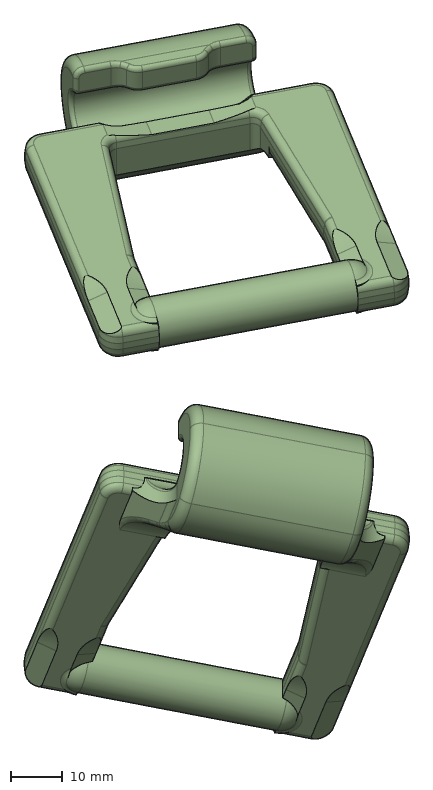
import cadquery as cq
import math


PLATE_LEFT = 5.2
PLATE_RIGHT = 65.55
PLATE_HALF_WIDTH = 31.0
PLATE_HALF_THICKNESS = 3.6
CORNER_RADIUS = 3.8
EDGE_RADIUS = 1.6
BAND_HALF_HEIGHT = 0.8
SIDE_DRAFT = 7.0

BAR_RADIUS = 5.0
BAR_X = PLATE_RIGHT - BAR_RADIUS
BAR_HALF_STRAIGHT = 19.9
BAR_ROOT_RADIUS = 1.9

WINDOW_LEFT = 11.3
WINDOW_TAPER_END = 44.55
WINDOW_HALF_LEFT = 14.9
WINDOW_HALF_RIGHT = 18.9
WINDOW_CORNER_RADIUS = 1.7

BEVEL_WIDTH = 4.0
BEVEL_DEPTH = 1.4
BEVEL_START = 53.65
BEVEL_RUNOUT_RADIUS = 8.1
BEVEL_HEADROOM = 1.6

RELIEF_WIDTH = 3.0
RELIEF_DEPTH = 3.45
RELIEF_HALF_STRAIGHT = 11.0
RELIEF_RUNOUT_RADIUS = 6.2
RAIL_DIP = 1.1
RAIL_DIP_HALF_FLAT = 6.3
RAIL_DIP_HALF_WIDTH = 14.9

BORE_RADIUS = 5.0
HOOK_HALF_WIDTH = 18.3
HOOK_UPPER_RADIUS = 11.0
HOOK_BACK_RADIUS = 14.4
HOOK_LOWER_RADIUS = 10.2
HOOK_LEFT = -12.8
HOOK_CENTER_Z = 0.1
HOOK_OUTER_EDGE_RADIUS = 2.1
HOOK_BORE_EDGE_RADIUS = 0.95
LOWER_CENTER_ANGLE = 247.0
NECK_SLOPE = 51.0
NECK_BLEND_RADIUS = 7.8
FLARE_RADIUS = 7.0
FLARE_HALF_WIDTH = HOOK_HALF_WIDTH + FLARE_RADIUS
FLARE_START_Z = -10.25
FLARE_SLOPE_Z = -8.3
FLARE_SLOPE = 38.0

LIP_CENTER_X = 1.3
LIP_SIDE_X = -1.4
LIP_CENTER_HALF_WIDTH = 5.4
LIP_SIDE_START = 11.0
LIP_EDGE_RADIUS = 0.95
FLARE_START_X = LIP_SIDE_X

CLEAR = 47.0
SELECT_MARGIN = 0.1


def polar(center, radius, degrees):
    """Point on a circle at an angle counted from the first axis."""
    angle = math.radians(degrees)
    return (center[0] + radius * math.cos(angle), center[1] + radius * math.sin(angle))


def hook_profile():
    """C-shaped hook whose lower side runs up a neck and blends into the plate underside."""
    upper = (HOOK_LEFT + HOOK_UPPER_RADIUS, HOOK_CENTER_Z)
    back = (HOOK_LEFT + HOOK_BACK_RADIUS, HOOK_CENTER_Z)
    lower = polar(back, HOOK_BACK_RADIUS - HOOK_LOWER_RADIUS, LOWER_CENTER_ANGLE)
    neck_angle = 270 + NECK_SLOPE
    neck_start = polar(lower, HOOK_LOWER_RADIUS, neck_angle)
    slope = math.radians(NECK_SLOPE)
    corner_x = neck_start[0] + (-PLATE_HALF_THICKNESS - neck_start[1]) / math.tan(slope)
    setback = NECK_BLEND_RADIUS * math.tan(slope / 2)
    blend_center = (corner_x + setback, -PLATE_HALF_THICKNESS - NECK_BLEND_RADIUS)
    blend_start = polar(blend_center, NECK_BLEND_RADIUS, 90 + NECK_SLOPE)
    blend_end = polar(blend_center, NECK_BLEND_RADIUS, 90)
    top = HOOK_CENTER_Z + HOOK_UPPER_RADIUS
    return (
        cq.Workplane("XZ")
        .moveTo(LIP_CENTER_X, top)
        .lineTo(upper[0], top)
        .threePointArc(polar(upper, HOOK_UPPER_RADIUS, 135), (HOOK_LEFT, HOOK_CENTER_Z))
        .threePointArc(
            polar(back, HOOK_BACK_RADIUS, (180 + LOWER_CENTER_ANGLE) / 2),
            polar(back, HOOK_BACK_RADIUS, LOWER_CENTER_ANGLE),
        )
        .threePointArc(
            polar(lower, HOOK_LOWER_RADIUS, (LOWER_CENTER_ANGLE + neck_angle) / 2), neck_start
        )
        .lineTo(*blend_start)
        .threePointArc(polar(blend_center, NECK_BLEND_RADIUS, 90 + NECK_SLOPE / 2), blend_end)
        .lineTo(blend_end[0], 0)
        .lineTo(BORE_RADIUS, 0)
        .threePointArc(
            (-BORE_RADIUS, 0),
            (LIP_CENTER_X, math.sqrt(BORE_RADIUS**2 - LIP_CENTER_X**2)),
        )
        .close()
        .extrude(CLEAR, both=True)
    )


def symmetric_prism(half_outline):
    """Extrude an outline lying on the +Y side and add its mirror image."""
    half = half_outline.close().extrude(CLEAR, both=True)
    return half.union(half.mirror("XZ"))


def flare_in_plan():
    """Space within a quarter arc that widens the hook to the flare width along X."""
    diag = FLARE_RADIUS * math.sqrt(0.5)
    return symmetric_prism(
        cq.Workplane("XY")
        .moveTo(-CLEAR, 0)
        .lineTo(-CLEAR, HOOK_HALF_WIDTH)
        .lineTo(FLARE_START_X, HOOK_HALF_WIDTH)
        .threePointArc(
            (FLARE_START_X + diag, FLARE_HALF_WIDTH - diag),
            (FLARE_START_X + FLARE_RADIUS, FLARE_HALF_WIDTH),
        )
        .lineTo(CLEAR, FLARE_HALF_WIDTH)
        .lineTo(CLEAR, 0)
    )


def flare_from_below():
    """Space within an arc and a slope that widen the hook to the flare width along Z."""
    turn = math.radians(90 - FLARE_SLOPE)
    radius = (FLARE_SLOPE_Z - FLARE_START_Z) / math.sin(turn)
    slope_y = HOOK_HALF_WIDTH + radius * (1 - math.cos(turn))
    slope_rise = (FLARE_HALF_WIDTH - slope_y) * math.tan(math.radians(FLARE_SLOPE))
    return symmetric_prism(
        cq.Workplane("ZY")
        .moveTo(-CLEAR, 0)
        .lineTo(-CLEAR, HOOK_HALF_WIDTH)
        .lineTo(FLARE_START_Z, HOOK_HALF_WIDTH)
        .tangentArcPoint((FLARE_SLOPE_Z, slope_y), relative=False)
        .lineTo(FLARE_SLOPE_Z + slope_rise, FLARE_HALF_WIDTH)
        .lineTo(CLEAR, FLARE_HALF_WIDTH)
        .lineTo(CLEAR, 0)
    )


def lip_cutter():
    """Trim that sets the lip back at both sides through an S-curve."""
    mid = ((LIP_CENTER_X + LIP_SIDE_X) / 2, (LIP_CENTER_HALF_WIDTH + LIP_SIDE_START) / 2)
    run = (LIP_SIDE_START - LIP_CENTER_HALF_WIDTH) / 2
    rise = (LIP_CENTER_X - LIP_SIDE_X) / 2
    radius = (run**2 + rise**2) / (2 * rise)
    half = (
        cq.Workplane("XY")
        .moveTo(LIP_CENTER_X, LIP_CENTER_HALF_WIDTH)
        .radiusArc(mid, -radius)
        .radiusArc((LIP_SIDE_X, LIP_SIDE_START), radius)
        .lineTo(LIP_SIDE_X, CLEAR)
        .lineTo(LIP_CENTER_X, CLEAR)
        .close()
        .extrude(CLEAR)
    )
    return half.union(half.mirror("XZ"))


def edges_in_box(body, low, high):
    return body.edges(cq.selectors.BoxSelector(low, high, boundingbox=True))


def hook():
    body = hook_profile()
    body = body.intersect(flare_in_plan())
    body = body.intersect(flare_from_below())
    body = body.cut(lip_cutter())
    for side in (-1, 1):
        y_low = side * HOOK_HALF_WIDTH - SELECT_MARGIN
        y_high = side * HOOK_HALF_WIDTH + SELECT_MARGIN
        reach = BORE_RADIUS + SELECT_MARGIN
        bore_edge = edges_in_box(body, (-reach, y_low, -reach), (reach, y_high, reach))
        body = bore_edge.edges("%CIRCLE").fillet(HOOK_BORE_EDGE_RADIUS)
        rim = edges_in_box(body, (-CLEAR, y_low, -CLEAR), (CLEAR, y_high, CLEAR))
        body = rim.edges("%CIRCLE").edges("<X").fillet(HOOK_OUTER_EDGE_RADIUS)
    mouth = edges_in_box(
        body,
        (LIP_SIDE_X - SELECT_MARGIN, -HOOK_HALF_WIDTH - SELECT_MARGIN, 0),
        (LIP_CENTER_X + SELECT_MARGIN, HOOK_HALF_WIDTH + SELECT_MARGIN, CLEAR),
    )
    body = mouth.edges("not |Z").edges("not(<Y or >Y)").fillet(LIP_EDGE_RADIUS)
    return body


def drafted_prism(sketch, taper):
    """Plate-thick prism, straight in a middle band and drafted above and below it."""
    band = cq.Workplane("XY").placeSketch(sketch).extrude(BAND_HALF_HEIGHT, both=True)
    upper = (
        cq.Workplane("XY")
        .workplane(offset=BAND_HALF_HEIGHT)
        .placeSketch(sketch)
        .extrude(PLATE_HALF_THICKNESS - BAND_HALF_HEIGHT, taper=taper)
    )
    return band.union(upper).union(upper.mirror("XY"))


def plate_outline():
    return (
        cq.Sketch()
        .push([((PLATE_LEFT + PLATE_RIGHT) / 2, 0)])
        .rect(PLATE_RIGHT - PLATE_LEFT, 2 * PLATE_HALF_WIDTH)
        .reset()
        .vertices()
        .fillet(CORNER_RADIUS)
    )


def window_outline():
    far_side = [
        (WINDOW_LEFT, WINDOW_HALF_LEFT),
        (WINDOW_TAPER_END, WINDOW_HALF_RIGHT),
        (BAR_X, WINDOW_HALF_RIGHT),
    ]
    near_side = [(x, -y) for x, y in reversed(far_side)]
    corners = far_side + near_side
    return (
        cq.Sketch()
        .polygon(corners + corners[:1])
        .vertices("<X")
        .fillet(WINDOW_CORNER_RADIUS)
    )


def plate():
    body = drafted_prism(plate_outline(), SIDE_DRAFT)
    body = body.cut(drafted_prism(window_outline(), -SIDE_DRAFT))
    body = body.faces("<Z or >Z").edges().fillet(EDGE_RADIUS)
    bar_gap = cq.Workplane("XY").box(
        CLEAR, 2 * BAR_HALF_STRAIGHT, CLEAR, centered=(False, True, True)
    )
    return body.cut(bar_gap.translate((BAR_X, 0, 0)))


def bar():
    """Round bar with domed ends."""
    rod = (
        cq.Workplane("XZ")
        .center(BAR_X, 0)
        .circle(BAR_RADIUS)
        .extrude(BAR_HALF_STRAIGHT, both=True)
    )
    for side in (-1, 1):
        dome = cq.Workplane("XY").sphere(BAR_RADIUS)
        rod = rod.union(dome.translate((BAR_X, side * BAR_HALF_STRAIGHT, 0)))
    return rod


def bar_roots():
    """Concave roots where the domes of the bar rise from the plate faces."""
    center_z = PLATE_HALF_THICKNESS + BAR_ROOT_RADIUS
    reach = BAR_RADIUS + BAR_ROOT_RADIUS
    foot = math.sqrt(reach**2 - center_z**2)
    tilt = math.degrees(math.atan2(center_z, foot))
    dome_end = polar((0, 0), BAR_RADIUS, tilt)
    root_mid = polar((foot, center_z), BAR_ROOT_RADIUS, (180 + tilt + 270) / 2)
    root = (
        cq.Workplane("XZ")
        .moveTo(0, 0)
        .lineTo(foot, 0)
        .lineTo(foot, PLATE_HALF_THICKNESS)
        .threePointArc(root_mid, dome_end)
        .lineTo(0, dome_end[1])
        .close()
        .revolve(180, (0, 0, 0), (0, 1, 0))
    )
    root = root.union(root.mirror("XY")).translate((BAR_X, BAR_HALF_STRAIGHT, 0))
    return root.union(root.mirror("XZ"))


def run_out_bevel(width, depth, runout_radius, length):
    """Cutter for a bevel along +X with its shallow edge on the X axis.

    The bevel falls toward +Y, reaching the depth at the width, and fades out
    along a cone centred beside its starting end.
    """
    cone_depth = runout_radius * depth / width
    prism = (
        cq.Workplane("YZ")
        .moveTo(0, 0)
        .lineTo(runout_radius, -cone_depth)
        .lineTo(runout_radius, BEVEL_HEADROOM)
        .lineTo(0, BEVEL_HEADROOM)
        .close()
        .extrude(length)
    )
    cone = (
        cq.Workplane("XZ")
        .moveTo(0, -cone_depth)
        .lineTo(runout_radius, 0)
        .lineTo(runout_radius, BEVEL_HEADROOM)
        .lineTo(0, BEVEL_HEADROOM)
        .close()
        .revolve(360, (0, 0, 0), (0, 1, 0))
        .translate((0, runout_radius, 0))
    )
    return prism.union(cone)


def arm_bevels():
    outer = run_out_bevel(
        BEVEL_WIDTH, BEVEL_DEPTH, BEVEL_RUNOUT_RADIUS, PLATE_RIGHT - BEVEL_START
    ).translate((BEVEL_START, PLATE_HALF_WIDTH - BEVEL_WIDTH, PLATE_HALF_THICKNESS))
    inner = (
        run_out_bevel(BEVEL_WIDTH, BEVEL_DEPTH, BEVEL_RUNOUT_RADIUS, BAR_X - BEVEL_START)
        .mirror("XZ")
        .translate((BEVEL_START, WINDOW_HALF_RIGHT + BEVEL_WIDTH, PLATE_HALF_THICKNESS))
    )
    pair = outer.union(inner)
    one_arm = pair.union(pair.mirror("XY"))
    return one_arm.union(one_arm.mirror("XZ"))


def rail_relief():
    half = run_out_bevel(
        RELIEF_WIDTH, RELIEF_DEPTH, RELIEF_RUNOUT_RADIUS, RELIEF_HALF_STRAIGHT
    ).rotate((0, 0, 0), (0, 0, 1), 90)
    half = half.translate((PLATE_LEFT + RELIEF_WIDTH, -RELIEF_HALF_STRAIGHT, PLATE_HALF_THICKNESS))
    return half.union(half.mirror("XZ"))


def rail_dip():
    """Shallow trough that lowers the top of the left rail in its middle."""
    low = PLATE_HALF_THICKNESS - RAIL_DIP
    return (
        cq.Workplane("YZ")
        .moveTo(-RAIL_DIP_HALF_WIDTH, PLATE_HALF_THICKNESS)
        .lineTo(-RAIL_DIP_HALF_FLAT, low)
        .lineTo(RAIL_DIP_HALF_FLAT, low)
        .lineTo(RAIL_DIP_HALF_WIDTH, PLATE_HALF_THICKNESS)
        .close()
        .extrude(WINDOW_LEFT + WINDOW_CORNER_RADIUS)
    )


def frame():
    body = plate().union(bar_roots())
    return body.cut(rail_dip()).cut(rail_relief()).cut(arm_bevels()).union(bar())


def window_below():
    """Continuation of the window through the neck under the plate."""
    return cq.Workplane("XY").placeSketch(window_outline()).extrude(-CLEAR)


result = hook().cut(window_below()).union(frame())